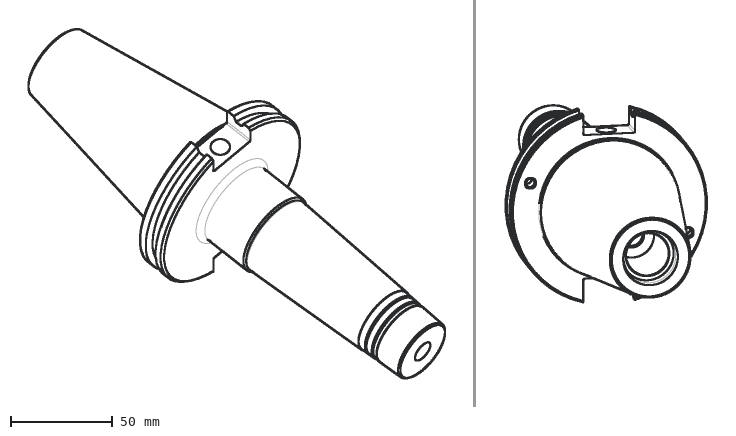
import cadquery as cq
import math

total_length = 251.5
gauge_x = 101.6
flange_start_x = 104.7
flange_end_x = 120.8
hub_end_x = 151.2
nose_cone_start_x = 152.0
nose_step_x = 225.0
groove_center_x = 112.7

taper_ratio = 7 / 24
gauge_diameter = 70.0
taper_end_diameter = gauge_diameter - taper_ratio * gauge_x
taper_end_chamfer = 0.8
neck_diameter = 69.2
neck_bevel_length = 0.8
neck_fillet = 0.8

flange_diameter = 98.0
flange_front_chamfer = 0.8
flange_back_chamfer = 1.3
groove_depth = 3.3
groove_floor_width = 3.8
groove_mouth_width = 6.8

slot_width = 26.0
slot_fillet = 0.8
upper_slot_floor_z = 37.5
lower_slot_floor_z = -35.2
slot_dimple_diameter = 9.5
drill_half_angle = math.radians(59)

hub_diameter = 44.5
hub_fillet = 3.0
nose_start_diameter = 42.5
hub_end_chamfer = (hub_diameter - nose_start_diameter) / 2
nose_slope = 0.045
nose_step = 0.3
nose_end_chamfer = 0.8

ring_groove_depth = 0.38
narrow_ring_start_x = 229.0
narrow_ring_bevel = 0.3
narrow_ring_end_x = 229.7
wide_ring_start_x = 233.5
wide_ring_bevel = 0.8
wide_ring_end_x = 236.5

mouth_diameter = 27.5
mouth_depth = 2.3
counterbore_diameter = 26.2
counterbore_depth = 7.5
thread_mouth_diameter = 22.0
thread_bore_diameter = 21.5
thread_bore_end_x = 45.3
neck_bore_diameter = 12.5
through_bore_diameter = 10.8

coolant_circle_radius = 42.0
coolant_angle = 20.0
coolant_inlet_diameter = 5.5
coolant_inlet_depth = 0.8
coolant_diameter = 4.3
coolant_outlet_diameter = 4.0


def revolve_about_x(points):
    """Revolve a closed (x, radius) outline about the X axis."""
    return cq.Workplane("XY").polyline(points).close().revolve(360, (0, 0, 0), (1, 0, 0))


def nose_radius(x):
    """Radius of the nose cone beyond its step, at position x."""
    return nose_start_diameter / 2 - nose_slope * (x - nose_cone_start_x) - nose_step


def make_body():
    start_radius = taper_end_diameter / 2
    neck_radius = neck_diameter / 2
    flange_radius = flange_diameter / 2
    hub_radius = hub_diameter / 2
    nose_end_radius = nose_radius(total_length)
    groove_floor_half = groove_floor_width / 2
    groove_mouth_half = groove_mouth_width / 2
    groove_radius = flange_radius - groove_depth

    profile = (
        cq.Workplane("XY")
        .moveTo(0, 0)
        .lineTo(0, start_radius - taper_end_chamfer)
        .lineTo(taper_end_chamfer, start_radius + taper_end_chamfer * taper_ratio / 2)
        .lineTo(gauge_x, gauge_diameter / 2)
        .lineTo(gauge_x + neck_bevel_length, neck_radius)
        .lineTo(flange_start_x - neck_fillet, neck_radius)
        .radiusArc((flange_start_x, neck_radius + neck_fillet), -neck_fillet)
        .lineTo(flange_start_x, flange_radius - flange_front_chamfer)
        .lineTo(flange_start_x + flange_front_chamfer, flange_radius)
        .lineTo(groove_center_x - groove_mouth_half, flange_radius)
        .lineTo(groove_center_x - groove_floor_half, groove_radius)
        .lineTo(groove_center_x + groove_floor_half, groove_radius)
        .lineTo(groove_center_x + groove_mouth_half, flange_radius)
        .lineTo(flange_end_x - flange_back_chamfer, flange_radius)
        .lineTo(flange_end_x, flange_radius - flange_back_chamfer)
        .lineTo(flange_end_x, hub_radius + hub_fillet)
        .radiusArc((flange_end_x + hub_fillet, hub_radius), -hub_fillet)
        .lineTo(hub_end_x - hub_end_chamfer, hub_radius)
        .lineTo(hub_end_x, nose_start_diameter / 2)
        .lineTo(nose_cone_start_x, nose_start_diameter / 2)
        .lineTo(nose_step_x, nose_radius(nose_step_x) + nose_step)
        .lineTo(nose_step_x, nose_radius(nose_step_x))
        .lineTo(total_length - nose_end_chamfer, nose_radius(total_length - nose_end_chamfer))
        .lineTo(total_length, nose_end_radius - nose_end_chamfer)
        .lineTo(total_length, 0)
        .close()
    )
    return profile.revolve(360, (0, 0, 0), (1, 0, 0))


def make_ring_groove(start_x, end_x, bevel):
    """Shallow groove that follows the nose cone, with a sloped entry of length bevel."""
    floor_x = start_x + bevel
    return revolve_about_x([
        (start_x, nose_radius(start_x)),
        (floor_x, nose_radius(floor_x) - ring_groove_depth),
        (end_x, nose_radius(end_x) - ring_groove_depth),
        (end_x, hub_diameter),
        (start_x, hub_diameter),
    ])


def make_bore():
    counterbore_radius = counterbore_diameter / 2
    thread_mouth_radius = thread_mouth_diameter / 2
    thread_radius = thread_bore_diameter / 2
    neck_radius = neck_bore_diameter / 2
    through_radius = through_bore_diameter / 2
    thread_start_x = counterbore_depth + thread_mouth_radius - thread_radius
    cone_end_x = thread_bore_end_x + (thread_radius - neck_radius) / math.tan(drill_half_angle)
    return revolve_about_x([
        (0, 0),
        (0, mouth_diameter / 2),
        (mouth_depth, counterbore_radius),
        (counterbore_depth, counterbore_radius),
        (counterbore_depth, thread_mouth_radius),
        (thread_start_x, thread_radius),
        (thread_bore_end_x, thread_radius),
        (cone_end_x, neck_radius),
        (cone_end_x, through_radius),
        (total_length, through_radius),
        (total_length, 0),
    ])


def make_drive_slot(floor_z):
    """Cutter for one slot, from its floor outward, with rounded floor corners."""
    length = flange_end_x - flange_start_x
    height = flange_diameter / 2
    outward = math.copysign(1, floor_z)
    cutter = cq.Workplane("XY").box(length, slot_width, height)
    cutter = cutter.faces("<Z" if outward > 0 else ">Z").edges("|X").fillet(slot_fillet)
    return cutter.translate((flange_start_x + length / 2, 0, floor_z + outward * height / 2))


def make_slot_dimple():
    """Conical dimple in the upper slot floor."""
    radius = slot_dimple_diameter / 2
    depth = radius / math.tan(drill_half_angle)
    cone = cq.Solid.makeCone(radius, 0, depth, pnt=(0, 0, 0), dir=(0, 0, -1))
    return cone.translate((groove_center_x, 0, upper_slot_floor_z))


def make_coolant_hole(angle):
    """Axial hole countersunk from the flange face, with a radial outlet into the V-groove."""
    axial = cq.Workplane("YZ", origin=(flange_start_x, coolant_circle_radius, 0))
    bore = axial.circle(coolant_diameter / 2).extrude(groove_center_x - flange_start_x)
    countersink = cq.Workplane(cq.Solid.makeCone(
        coolant_inlet_diameter / 2,
        coolant_diameter / 2,
        coolant_inlet_depth,
        pnt=(flange_start_x, coolant_circle_radius, 0),
        dir=(1, 0, 0),
    ))
    outlet = (
        cq.Workplane("XZ", origin=(groove_center_x, coolant_circle_radius, 0))
        .circle(coolant_outlet_diameter / 2)
        .extrude(coolant_circle_radius - flange_diameter / 2)
    )
    return bore.union(countersink).union(outlet).rotate((0, 0, 0), (1, 0, 0), angle)


result = make_body().cut(make_bore()).cut(make_slot_dimple())
for slot_floor_z in (upper_slot_floor_z, lower_slot_floor_z):
    result = result.cut(make_drive_slot(slot_floor_z))
result = result.cut(make_ring_groove(narrow_ring_start_x, narrow_ring_end_x, narrow_ring_bevel))
result = result.cut(make_ring_groove(wide_ring_start_x, wide_ring_end_x, wide_ring_bevel))
for hole_angle in (coolant_angle, coolant_angle + 180):
    result = result.cut(make_coolant_hole(hole_angle))